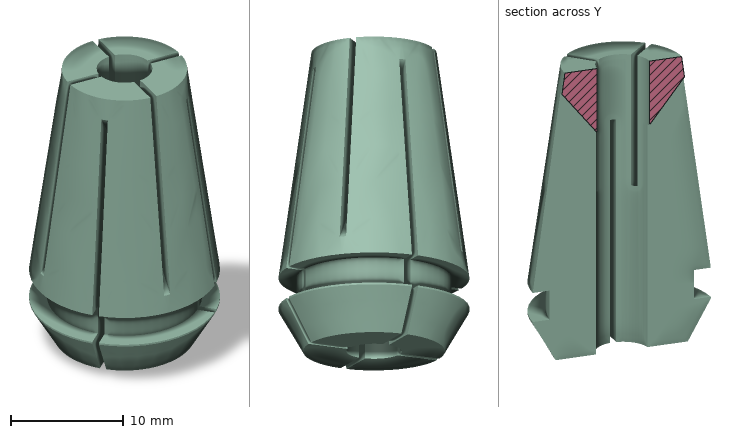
import cadquery as cq
import math

length = 27.5
outer_radius = 8.5
bore_radius = 2.48

nose_angle = 30.0
nose_height = 3.8
flange_top = 3.95

groove_radius = 6.9
taper_start = 6.75
taper_angle = 8.0

slot_width = 0.6
nose_slot_top = 25.5
nose_slot_bore_top = 21.3
rear_slot_bottom = 8.42
rear_slot_bore_bottom = 15.0
slots_per_end = 4
clearance = 1.38

nose_radius = outer_radius - nose_height * math.tan(math.radians(nose_angle))


def taper_radius(z):
    return outer_radius - (z - taper_start) * math.tan(math.radians(taper_angle))


def body():
    """Revolved collet wall, including the bore."""
    return (
        cq.Workplane("XZ")
        .moveTo(bore_radius, 0)
        .lineTo(nose_radius, 0)
        .lineTo(outer_radius, nose_height)
        .lineTo(outer_radius, flange_top)
        .lineTo(groove_radius, flange_top)
        .lineTo(groove_radius, taper_start)
        .lineTo(outer_radius, taper_start)
        .lineTo(taper_radius(length), length)
        .lineTo(bore_radius, length)
        .close()
        .revolve(360, (0, 0, 0), (0, 1, 0))
    )


def slot(open_z, bore_z, outer_z):
    """Radial slot along +X whose closed end slopes from the bore to the taper."""
    slope = (outer_z - bore_z) / (taper_radius(outer_z) - bore_radius)
    far_radius = outer_radius + clearance
    axis_z = bore_z - slope * bore_radius
    far_z = axis_z + slope * far_radius
    return (
        cq.Workplane("XZ")
        .polyline([(0, open_z), (far_radius, open_z), (far_radius, far_z), (0, axis_z)])
        .close()
        .extrude(slot_width / 2, both=True)
    )


nose_slot = slot(-clearance, nose_slot_bore_top, nose_slot_top)
rear_slot = slot(length + clearance, rear_slot_bore_bottom, rear_slot_bottom)

result = body()
pitch = 360 / slots_per_end
for index in range(slots_per_end):
    angle = index * pitch
    result = result.cut(nose_slot.rotate((0, 0, 0), (0, 0, 1), angle))
    result = result.cut(rear_slot.rotate((0, 0, 0), (0, 0, 1), angle + pitch / 2))